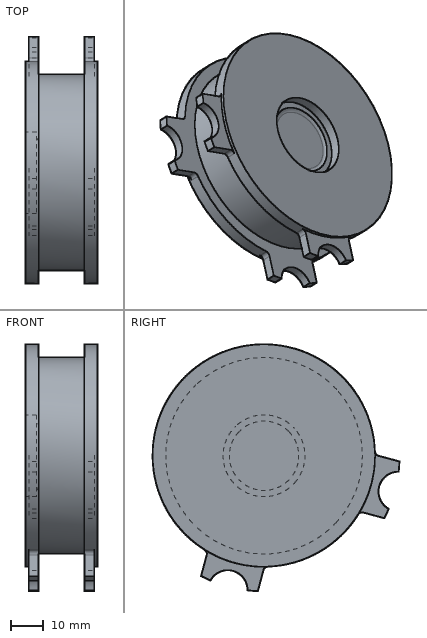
import cadquery as cq
import math

total_width = 22.0
flange_diameter = 68.0
flange_thickness = 4.0
hub_diameter = 60.06

recess_diameter = 25.0
recess_depth = 3.3
inner_recess_diameter = 21.2
inner_floor_diameter = 18.8
inner_arc_radius = 1.6

lug_thickness = 3.0
lug_width = 18.0
lug_tip_radius = 41.5
lug_root_fillet = 1.4
lug_angles = (-15.0, -105.0)
notch_radius = 6.0
notch_center_distance = 42.5

outer_face_x = total_width / 2
flange_inner_x = outer_face_x - flange_thickness
flange_radius = flange_diameter / 2


def disc(start_x, length, radius):
    """Cylinder along +X from start_x."""
    return cq.Workplane("YZ").workplane(offset=start_x).circle(radius).extrude(length)


def make_spool():
    hub = disc(-flange_inner_x, 2 * flange_inner_x, hub_diameter / 2)
    left_flange = disc(-outer_face_x, flange_thickness, flange_radius)
    right_flange = disc(flange_inner_x, flange_thickness, flange_radius)
    return hub.union(left_flange).union(right_flange)


def make_recess():
    """Cylindrical step, then a shallower dish whose curved wall runs tangent into a flat floor."""
    step_x = -outer_face_x + recess_depth
    rim_radius = inner_recess_diameter / 2
    floor_radius = inner_floor_diameter / 2
    arc_angle = math.asin((rim_radius - floor_radius) / inner_arc_radius)
    floor_x = step_x + inner_arc_radius * (1 - math.cos(arc_angle))
    arc_middle_x = floor_x - inner_arc_radius * (1 - math.cos(arc_angle / 2))
    arc_middle_radius = floor_radius + inner_arc_radius * math.sin(arc_angle / 2)

    return (
        cq.Workplane("XY")
        .moveTo(-outer_face_x, 0)
        .lineTo(-outer_face_x, recess_diameter / 2)
        .lineTo(step_x, recess_diameter / 2)
        .lineTo(step_x, rim_radius)
        .threePointArc((arc_middle_x, arc_middle_radius), (floor_x, floor_radius))
        .lineTo(floor_x, 0)
        .close()
        .revolve(360, (0, 0, 0), (1, 0, 0))
    )


def make_lug(start_x, angle):
    """Lug pointing along +Y with a rounded tip, flared root and round notch, turned by angle."""
    half_width = lug_width / 2
    tip_y = math.sqrt(lug_tip_radius**2 - half_width**2)

    fillet_z = half_width + lug_root_fillet
    fillet_center_distance = flange_radius + lug_root_fillet
    fillet_y = math.sqrt(fillet_center_distance**2 - fillet_z**2)
    rim_y = fillet_y * flange_radius / fillet_center_distance
    rim_z = fillet_z * flange_radius / fillet_center_distance
    rim_direction = math.atan2(-fillet_z, -fillet_y)
    side_direction = -math.pi / 2
    middle_direction = (rim_direction + side_direction) / 2
    middle_y = fillet_y + lug_root_fillet * math.cos(middle_direction)
    middle_z = fillet_z + lug_root_fillet * math.sin(middle_direction)

    lug = (
        cq.Workplane("YZ")
        .workplane(offset=start_x)
        .moveTo(0, 0)
        .lineTo(rim_y, -rim_z)
        .threePointArc((middle_y, -middle_z), (fillet_y, -half_width))
        .lineTo(tip_y, -half_width)
        .threePointArc((lug_tip_radius, 0), (tip_y, half_width))
        .lineTo(fillet_y, half_width)
        .threePointArc((middle_y, middle_z), (rim_y, rim_z))
        .close()
        .extrude(lug_thickness)
    )
    notch = disc(start_x, lug_thickness, notch_radius).translate((0, notch_center_distance, 0))
    return lug.cut(notch).rotate((0, 0, 0), (1, 0, 0), angle)


result = make_spool()
for lug_start_x in (-flange_inner_x - lug_thickness, flange_inner_x):
    for lug_angle in lug_angles:
        result = result.union(make_lug(lug_start_x, lug_angle))
result = result.cut(make_recess())